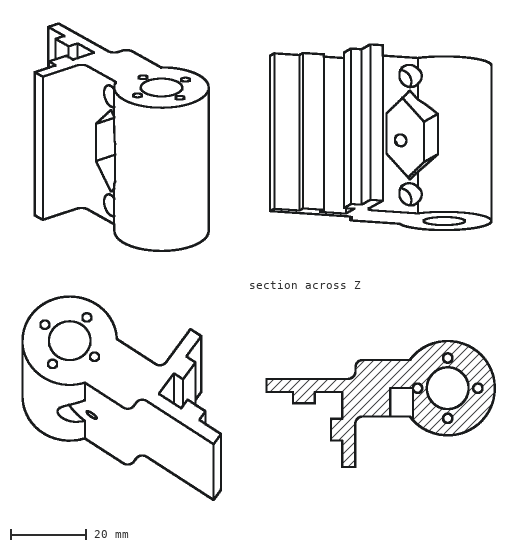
import cadquery as cq

total_length = 60.5
total_width = 33.4
height = 42.0

barrel_radius = 12.5
bore_diameter = 11.0
arm_half_width = 7.5

plate_thickness = 3.5
flange_back_y = 2.5
web_right_x = -24.45
flange_end_x = barrel_radius - total_length
web_end_y = barrel_radius - total_width
flange_front_y = flange_back_y - plate_thickness
web_left_x = web_right_x - plate_thickness
corner_radius = 2.0

rib_end_offset = 7.0
rib_width = 5.8
rib_depth = 2.95

end_hole_diameter = 2.4
end_hole_circle_radius = 8.0
end_hole_count = 4
end_hole_depth = 10.0

cross_x = -12.2
bolt_hole_diameter = 3.2
side_hole_diameter = 6.0
side_hole_z = 16.0
side_hole_floor_y = 0.0
pocket_half_width = 6.55
pocket_side_half_height = 5.45
pocket_tip_z = pocket_side_half_height + pocket_half_width
pocket_floor_y = 0.0
relief_diameter = 16.0


def slab(x_min, x_max, y_min, y_max):
    """Full-height rectangular block."""
    return cq.Workplane("XY").box(
        x_max - x_min, y_max - y_min, height, centered=(False, False, True)
    ).translate((x_min, y_min, 0))


def facing_front(y):
    """Sketch plane at the given Y whose positive extrusion runs toward -Y."""
    return cq.Workplane("XZ", origin=(0, y, 0))


def make_arm_and_bracket():
    arm = slab(web_left_x, 0, flange_front_y, arm_half_width)
    arm = arm.union(slab(web_right_x, 0, -arm_half_width, arm_half_width))
    arm = arm.cut(slab(web_left_x, web_right_x, flange_back_y, arm_half_width))
    flange = slab(flange_end_x, web_right_x, flange_front_y, flange_back_y)
    web = slab(web_left_x, web_right_x, web_end_y, flange_back_y)
    body = arm.union(flange).union(web).clean()
    for edge_y in (arm_half_width, flange_back_y, -arm_half_width):
        edge_point = (web_right_x, edge_y, 0)
        body = body.edges(cq.selectors.NearestToPointSelector(edge_point)).fillet(corner_radius)
    return body


def make_ribs():
    flange_rib_x = flange_end_x + rib_end_offset
    web_rib_y = web_end_y + rib_end_offset
    flange_rib = slab(flange_rib_x, flange_rib_x + rib_width, flange_front_y - rib_depth, flange_front_y)
    web_rib = slab(web_left_x - rib_depth, web_left_x, web_rib_y, web_rib_y + rib_width)
    return flange_rib, web_rib


def make_nut_pocket():
    outline = [
        (cross_x, pocket_tip_z),
        (cross_x + pocket_half_width, pocket_side_half_height),
        (cross_x + pocket_half_width, -pocket_side_half_height),
        (cross_x, -pocket_tip_z),
        (cross_x - pocket_half_width, -pocket_side_half_height),
        (cross_x - pocket_half_width, pocket_side_half_height),
    ]
    return facing_front(pocket_floor_y).polyline(outline).close().extrude(barrel_radius)


def make_side_holes():
    centres = [(cross_x, side_hole_z), (cross_x, -side_hole_z)]
    holes = facing_front(side_hole_floor_y).pushPoints(centres)
    return holes.circle(side_hole_diameter / 2).extrude(barrel_radius)


def make_bolt_hole():
    hole = facing_front(0).center(cross_x, 0).circle(bolt_hole_diameter / 2)
    return hole.extrude(barrel_radius, both=True)


def make_bolt_head_relief():
    relief = facing_front(arm_half_width).center(cross_x, 0).circle(relief_diameter / 2)
    return relief.extrude(-barrel_radius)


def make_end_holes():
    holes = cq.Workplane("XY", origin=(0, 0, height / 2))
    holes = holes.polarArray(end_hole_circle_radius, 0, 360, end_hole_count)
    return holes.circle(end_hole_diameter / 2).extrude(-end_hole_depth)


barrel = cq.Workplane("XY").circle(barrel_radius).extrude(height / 2, both=True)
bore = cq.Workplane("XY").circle(bore_diameter / 2).extrude(height / 2, both=True)

result = make_arm_and_bracket().union(barrel)
for rib in make_ribs():
    result = result.union(rib)

cutters = (
    bore,
    make_end_holes(),
    make_nut_pocket(),
    make_side_holes(),
    make_bolt_hole(),
    make_bolt_head_relief(),
)
for cutter in cutters:
    result = result.cut(cutter)